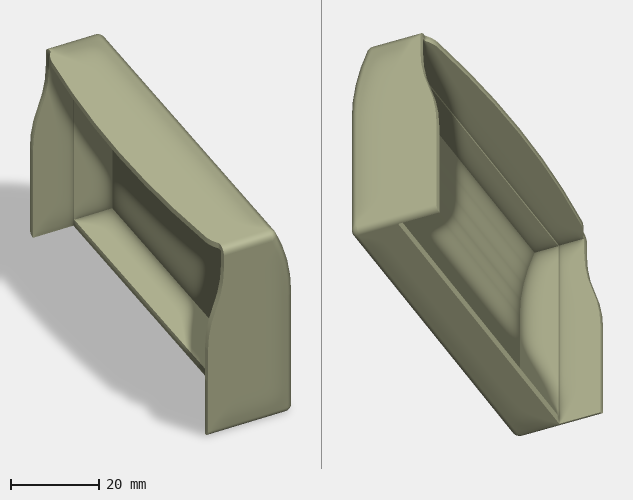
import cadquery as cq
import math

WIDTH, DEPTH, HEIGHT = 88.2, 22.0, 51.5

WALL = 1.9
FRONT_WALL = 1.5
RECESS_DEPTH = 10.3

BACK_ARC_START = 33.1
BACK_ARC_RADIUS = 40.6

EDGE_RADIUS = 1.9
BOTTOM_RADIUS = 1.5

SETBACK = 4.1
S_CURVE_BOTTOM = 24.4
S_CURVE_TOP = 45.9

ROOF_FLAT_END = 2.1
ROOF_BLEND_END = 2.65
ROOF_BLEND_SETBACK = 3.9
ROOF_BOW_START = 6.9
ROOF_BOW_SETBACK = 2.4

CLEARANCE = 4.4


def back_profile(inset):
    """Side profile of the shell, offset inward by inset and open past the front when inset."""
    radius = BACK_ARC_RADIUS - inset
    back = DEPTH - inset
    top = HEIGHT - inset
    front = -CLEARANCE if inset else 0
    arc_angle = math.asin((top - BACK_ARC_START) / radius)

    def arc_point(angle):
        y = back - radius * (1 - math.cos(angle))
        return y, BACK_ARC_START + radius * math.sin(angle)

    return (
        cq.Workplane("YZ")
        .moveTo(front, inset)
        .lineTo(back, inset)
        .lineTo(back, BACK_ARC_START)
        .threePointArc(arc_point(arc_angle / 2), arc_point(arc_angle))
        .lineTo(front, top)
        .close()
        .extrude(WIDTH / 2 - inset, both=True)
    )


def rounded_body():
    """Outer body with every edge rounded except those around the open front."""
    body = back_profile(0)
    body = body.edges("(not <Y) and (not (|X and <Z)) and (not (|Y and <Z))").fillet(EDGE_RADIUS)
    return body.faces("<Z").edges("not <Y").fillet(BOTTOM_RADIUS)


def front_recess():
    """Thins the roof and sides near the front and removes the floor there."""
    top = HEIGHT - FRONT_WALL
    return (
        cq.Workplane("XY")
        .box(WIDTH - 2 * FRONT_WALL, RECESS_DEPTH + CLEARANCE, top + CLEARANCE,
             centered=(True, False, False))
        .translate((0, -CLEARANCE, -CLEARANCE))
    )


def side_front_cut():
    """Removes material in front of the S-curve, below the roof."""
    rise = (S_CURVE_TOP - S_CURVE_BOTTOM) / 2
    middle = (SETBACK / 2, S_CURVE_BOTTOM + rise)
    start_tangent_height = S_CURVE_BOTTOM - CLEARANCE
    return (
        cq.Workplane("YZ")
        .moveTo(0, start_tangent_height)
        .lineTo(0, S_CURVE_BOTTOM)
        .tangentArcPoint(middle, relative=False)
        .tangentArcPoint((SETBACK, S_CURVE_TOP), relative=False)
        .lineTo(SETBACK, HEIGHT - FRONT_WALL)
        .lineTo(-CLEARANCE, HEIGHT - FRONT_WALL)
        .lineTo(-CLEARANCE, start_tangent_height)
        .close()
        .extrude(WIDTH, both=True)
    )


def roof_front_cut():
    """Removes material in front of the bowed roof edge."""
    end = WIDTH / 2
    bow_x = end - ROOF_BOW_START
    return (
        cq.Workplane("XY", origin=(0, 0, S_CURVE_TOP))
        .moveTo(-end - CLEARANCE, SETBACK)
        .lineTo(-end + ROOF_FLAT_END, SETBACK)
        .tangentArcPoint((-end + ROOF_BLEND_END, ROOF_BLEND_SETBACK), relative=False)
        .tangentArcPoint((-bow_x, ROOF_BOW_SETBACK), relative=False)
        .threePointArc((0, 0), (bow_x, ROOF_BOW_SETBACK))
        .lineTo(bow_x, -CLEARANCE)
        .lineTo(-end - CLEARANCE, -CLEARANCE)
        .close()
        .extrude(HEIGHT)
    )


roof_cut = roof_front_cut()
result = (
    rounded_body()
    .cut(back_profile(WALL))
    .cut(front_recess())
    .cut(side_front_cut())
    .cut(roof_cut)
    .cut(roof_cut.mirror("YZ"))
)